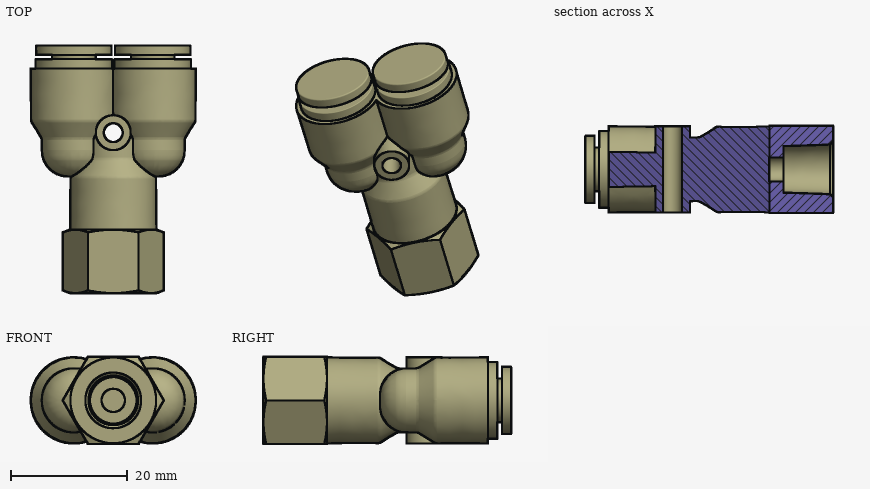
import cadquery as cq
import math


total_length = 42.45
port_spacing = 13.5
barrel_dia = 14.8
draft_end_dia = 14.7
slim_dia = 11.0
cone_angle = 31.6
shoulder_fillet = 1.0
cone_length = (draft_end_dia - slim_dia) / 2 / math.tan(math.radians(cone_angle))

nut_flats = 15.0
nut_length = 10.95
nut_chamfer_dia = 14.7
nut_chamfer_depth = 0.5
thread_mouth_dia = 9.55
thread_dia = 8.5
thread_depth = 8.5
thread_end_dia = thread_dia - thread_depth / 16
mouth_chamfer_depth = (thread_mouth_dia - thread_dia) / 2
nut_passage_dia = 4.0

neck_end_y = 19.9
arm_dome_y = 20.0
shoulder_y = 29.45
barrel_end_y = 38.45
dome_flat_dia = 2.0
dome_radius = (slim_dia - dome_flat_dia) / 2
boss_y = 27.5
boss_dia = 6.0
boss_hole_dia = 3.2

ring_dia = 13.15
ring_length = 1.6
ring_edge_fillet = 0.13
ring_end_y = barrel_end_y + ring_length
collar_neck_dia = 7.5
flange_width = 12.95
flange_height = 11.55
flange_thickness = 1.6
flange_edge_fillet = 0.2
flange_y = total_length - flange_thickness


def plane_at(y):
    """Plane facing +Y with its local X along the part's X."""
    return cq.Workplane(cq.Plane(origin=(0, y, 0), xDir=(1, 0, 0), normal=(0, 1, 0)))


def turned(points):
    """Solid of revolution about the Y axis from (radius, y) points."""
    return cq.Workplane("XY").polyline(points).close().revolve(360, (0, 0), (0, 1))


def fillet_circle(body, y, radius):
    """Fillet the circular edge of a turned body that lies at height y."""
    return body.edges(cq.NearestToPointSelector((0, y, 0))).fillet(radius)


def make_nut():
    corner_radius = nut_flats / 2 / math.cos(math.pi / 6)
    nut = plane_at(0).polygon(6, 2 * corner_radius).extrude(nut_length)
    chamfer_envelope = turned([
        (0, 0),
        (nut_chamfer_dia / 2, 0),
        (corner_radius, nut_chamfer_depth),
        (corner_radius, nut_length - nut_chamfer_depth),
        (nut_chamfer_dia / 2, nut_length),
        (0, nut_length),
    ])
    bore = turned([
        (0, 0),
        (thread_mouth_dia / 2, 0),
        (thread_dia / 2, mouth_chamfer_depth),
        (thread_end_dia / 2, thread_depth),
        (nut_passage_dia / 2, thread_depth),
        (nut_passage_dia / 2, nut_length),
        (0, nut_length),
    ])
    return nut.intersect(chamfer_envelope).cut(bore)


def make_neck():
    """Drafted neck that narrows into the throat, which ends inside the boss."""
    cone_end_y = neck_end_y + cone_length
    neck = turned([
        (0, nut_length),
        (barrel_dia / 2, nut_length),
        (draft_end_dia / 2, neck_end_y),
        (slim_dia / 2, cone_end_y),
        (slim_dia / 2, boss_y),
        (0, boss_y),
    ])
    for y in (neck_end_y, cone_end_y):
        neck = fillet_circle(neck, y, shoulder_fillet)
    return neck


def make_arm():
    """Drafted port barrel that narrows to a domed end, on the Y axis."""
    cone_end_y = shoulder_y - cone_length
    arm = turned([
        (0, barrel_end_y),
        (barrel_dia / 2, barrel_end_y),
        (draft_end_dia / 2, shoulder_y),
        (slim_dia / 2, cone_end_y),
        (slim_dia / 2, arm_dome_y),
        (0, arm_dome_y),
    ])
    for y in (shoulder_y, cone_end_y):
        arm = fillet_circle(arm, y, shoulder_fillet)
    return fillet_circle(arm, arm_dome_y, dome_radius)


def make_housing():
    housing = make_neck()
    for x in port_positions:
        housing = housing.union(make_arm().translate((x, 0, 0)))
    mount = cq.Workplane("XY").center(0, boss_y)
    boss = mount.circle(boss_dia / 2).extrude(barrel_dia / 2, both=True)
    hole = mount.circle(boss_hole_dia / 2).extrude(barrel_dia, both=True)
    return housing.union(boss).cut(hole)


def make_guide_ring():
    ring = plane_at(barrel_end_y).circle(ring_dia / 2).extrude(ring_length)
    return ring.faces(">Y").edges().fillet(ring_edge_fillet)


def make_collar():
    flange = plane_at(flange_y).ellipse(flange_width / 2, flange_height / 2).extrude(flange_thickness)
    flange = flange.faces(">Y").edges().fillet(flange_edge_fillet)
    neck = plane_at(ring_end_y).circle(collar_neck_dia / 2).extrude(flange_y - ring_end_y)
    return flange.union(neck)


port_positions = (-port_spacing / 2, port_spacing / 2)

nut = make_nut()
housing = make_housing()
guide_rings = [make_guide_ring().translate((x, 0, 0)).val() for x in port_positions]
collars = [make_collar().translate((x, 0, 0)).val() for x in port_positions]

result = cq.Compound.makeCompound([nut.val(), housing.val(), *guide_rings, *collars])